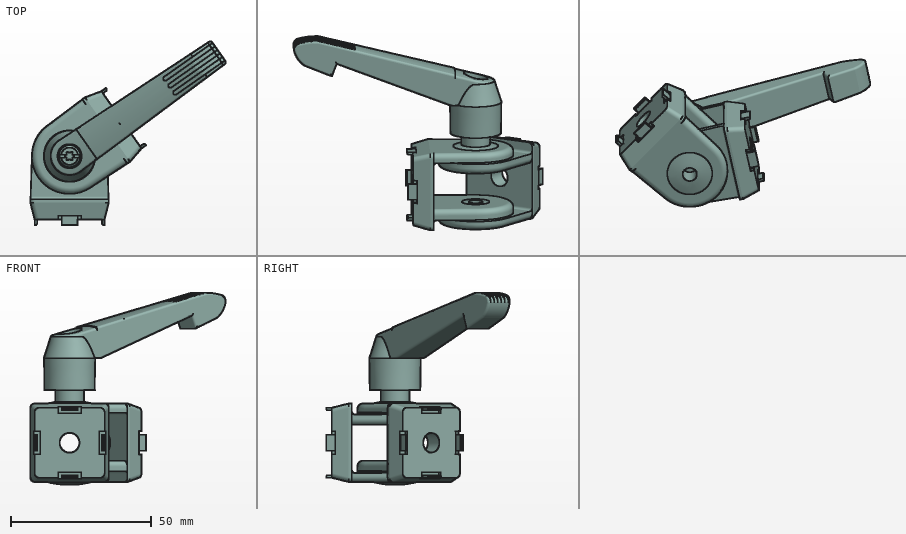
import cadquery as cq
import math

lever_angle = 35.0
half_height = 14.0

plate_back = 15.3
plate_edge = 16.5
plate_face = 22.55
face_half_side = 12.45
plate_corner = 1.7
plate_hole_radius = 3.5
arm_end_radius = 13.4
arm_plate_half_width = 13.9
outer_arm_bottom = 10.7
inner_arm_bottom = 10.1
inner_arm_top = 6.3
arm_rounding = 2.1
arm_root_fillet = 1.0
notch_width = 8.2
notch_depth = 1.95
notch_length = 1.3
tab_width = 5.7
tab_thickness = 1.0
tab_tip = 24.5
tab_bevel = 0.4

bush_radius = 4.9
bush_head_radius = 8.0
bush_head_height = 1.05

stud_collar_radius = 5.15
stud_tip_radius = 2.5
stud_tip_height = 4.5
stud_top = 30.05

hub_bottom = 18.7
hub_shoulder = 30.05
hub_cone_top = 37.7
hub_bottom_radius = 9.05
hub_radius = 9.2
hub_cone_top_radius = 6.75
lever_end = 64.8
lever_root = 9.6
lever_root_half_width = 6.715
lever_tip_half_width = 4.8
lever_slope = 0.245
lever_top_at_axis = 39.95
lever_crown_radius = 32.0
lever_edge_fillet = 0.85
lever_blank_top = 55.7
tip_start = 52.2
tip_start_height = 53.1
grip_step_top = (49.55, 45.0)
grip_bottom_start = (51.3, 40.5)
grip_bottom_end = (60.9, 44.3)
hub_top_end = 7.4
hub_top_drop = 0.3
groove_start = 42.95
groove_spacing = 3.05
groove_width = 1.5
groove_depth = 0.35
groove_lowest = 49.9

screw_bore_radius = 4.3
screw_seat = 36.75
screw_head_radius = 3.9
screw_head_height = 1.0
screw_head_chamfer = 0.85
screw_shank_radius = 1.75
screw_bottom = 24.35
screw_slot_width = 1.0
screw_slot_depth = 0.4
socket_radius = 1.2
socket_lobes = 6
socket_lobe_radius = 0.4
socket_depth = 0.85


def arm(bottom, top):
    """Arm with a round end about the pivot axis, its upper edge rounded."""
    outline = (
        cq.Workplane("XY", origin=(0, 0, bottom))
        .moveTo(-arm_plate_half_width, -plate_back)
        .lineTo(-arm_end_radius, 0)
        .threePointArc((0, arm_end_radius), (arm_end_radius, 0))
        .lineTo(arm_plate_half_width, -plate_back)
        .close()
        .extrude(top - bottom)
    )
    return outline.faces(">Z").edges("not <Y").fillet(arm_rounding)


def rounded_square(half_side):
    return cq.Sketch().rect(2 * half_side, 2 * half_side).vertices().fillet(plate_corner)


def plate():
    """Square plate facing -Y that narrows towards its outer face."""
    back = cq.Workplane("XZ", origin=(0, -plate_back, 0))
    rim = back.placeSketch(rounded_square(half_height)).extrude(plate_edge - plate_back)
    taper = (
        cq.Workplane("XZ", origin=(0, -plate_edge, 0))
        .placeSketch(
            rounded_square(half_height),
            rounded_square(face_half_side).moved(cq.Location(cq.Vector(0, 0, plate_face - plate_edge))),
        )
        .loft()
    )
    return rim.union(taper)


def notch():
    """Cutter for the notch at the upper side of the plate face."""
    return cq.Workplane("XY").box(
        notch_width, notch_length, 2 * notch_depth, centered=(True, False, False)
    ).translate((0, -plate_face, face_half_side - notch_depth))


def tab():
    """Tab that stands in the notch at the upper side of the plate face."""
    length = tab_tip - plate_face + notch_length
    blade = cq.Workplane("XY").box(
        tab_width, length, tab_thickness, centered=(True, False, False)
    ).translate((0, -tab_tip, face_half_side - tab_thickness))
    return blade.faces("<Y").edges("<Z").chamfer(tab_bevel)


def bracket():
    """Bracket facing -Y with an outer arm at the top and an inner arm below the centre."""
    body = plate()
    for bottom, top in ((outer_arm_bottom, half_height), (-inner_arm_bottom, -inner_arm_top)):
        body = body.union(arm(bottom, top))
    for height in (outer_arm_bottom, -inner_arm_bottom):
        root = cq.selectors.BoxSelector(
            (-0.7, -plate_back - 0.1, height - 0.1), (0.7, -plate_back + 0.1, height + 0.1)
        )
        body = body.edges(root).fillet(arm_root_fillet)
    for turn in range(4):
        body = body.cut(notch().rotate((0, 0, 0), (0, 1, 0), 90 * turn))
        body = body.union(tab().rotate((0, 0, 0), (0, 1, 0), 90 * turn))
    plate_hole = cq.Workplane("XZ").circle(plate_hole_radius).extrude(plate_face)
    pivot_hole = cq.Workplane("XY").circle(bush_radius).extrude(half_height, both=True)
    return body.cut(plate_hole).cut(pivot_hole)


def bush():
    """Bush through the upper pair of arms, with a domed head on top."""
    sleeve = (
        cq.Workplane("XY", origin=(0, 0, inner_arm_top))
        .circle(bush_radius)
        .extrude(half_height - inner_arm_top)
    )
    dome = (
        cq.Workplane("XZ")
        .moveTo(0, half_height)
        .lineTo(bush_head_radius, half_height)
        .threePointArc(
            (bush_head_radius / 2, half_height + 0.75 * bush_head_height),
            (0, half_height + bush_head_height),
        )
        .close()
        .revolve(360, (0, 0, 0), (0, 1, 0))
    )
    bore = cq.Workplane("XY").circle(stud_tip_radius).extrude(2 * half_height)
    return sleeve.union(dome).cut(bore)


def screw():
    """Retaining screw sunk in the hub, with a slot and a lobed socket."""
    head_top = screw_seat + screw_head_height
    head = (
        cq.Workplane("XY", origin=(0, 0, screw_seat))
        .circle(screw_head_radius)
        .extrude(screw_head_height)
        .faces(">Z")
        .chamfer(screw_head_chamfer)
    )
    shank = (
        cq.Workplane("XY", origin=(0, 0, screw_bottom))
        .circle(screw_shank_radius)
        .extrude(screw_seat - screw_bottom)
    )
    slot = cq.Workplane("XY").box(
        2 * screw_head_radius, screw_slot_width, 2 * screw_slot_depth
    ).translate((0, 0, head_top))
    socket_floor = cq.Workplane("XY", origin=(0, 0, head_top - socket_depth))
    socket = socket_floor.circle(socket_radius).extrude(socket_depth)
    lobes = (
        socket_floor.polarArray(socket_radius, 0, 360, socket_lobes)
        .circle(socket_lobe_radius)
        .extrude(socket_depth)
    )
    return head.union(shank).cut(slot).cut(socket.union(lobes))


def stud():
    """Clamp stud: collar from the upper bush into the hub, slim tip through the bush."""
    tip = (
        cq.Workplane("XY", origin=(0, 0, stud_tip_height))
        .circle(stud_tip_radius)
        .extrude(stud_top - stud_tip_height)
    )
    collar = (
        cq.Workplane("XY", origin=(0, 0, half_height))
        .circle(stud_collar_radius)
        .extrude(stud_top - half_height)
    )
    return tip.union(collar).cut(bush()).cut(screw())


def lever_blank():
    """Lever along +X: side profile, tapered plan, crowned top and rounded side edges."""
    profile = (
        cq.Workplane("XZ")
        .moveTo(-hub_radius, hub_shoulder)
        .lineTo(-hub_radius, lever_blank_top)
        .lineTo(tip_start, lever_blank_top)
        .lineTo(tip_start, tip_start_height)
        .threePointArc((58.45, 53.3), (63.4, 52.5))
        .threePointArc((64.5, 51.35), (lever_end, 49.9))
        .threePointArc((63.7, 47.2), grip_bottom_end)
        .lineTo(*grip_bottom_start)
        .lineTo(*grip_step_top)
        .lineTo(lever_root, hub_shoulder)
        .close()
        .extrude(hub_radius, both=True)
    )
    plan_end = lever_end + 2.1
    plan = (
        cq.Workplane("XY")
        .moveTo(0, lever_root_half_width)
        .threePointArc((-lever_root_half_width, 0), (0, -lever_root_half_width))
        .lineTo(plan_end, -lever_tip_half_width)
        .lineTo(plan_end, lever_tip_half_width)
        .close()
        .extrude(69.6)
    )
    slope_angle = math.degrees(math.atan(lever_slope))
    crown = (
        cq.Workplane("YZ", origin=(-34.8, 0, -lever_crown_radius))
        .circle(lever_crown_radius)
        .extrude(139.2)
        .rotate((0, 0, 0), (0, 1, 0), -slope_angle)
        .translate((0, 0, lever_top_at_axis))
    )
    blank = profile.intersect(plan).intersect(crown)
    sides = [
        cq.selectors.BoxSelector((13.9, side * 2.1, 0), (lever_end, side * hub_radius, 69.6))
        for side in (-1, 1)
    ]
    return blank.edges(sides[0] + sides[1]).fillet(lever_edge_fillet)


def lowered_top(lever, footprint, depth):
    """Cutter that lowers the top of the lever by a constant depth inside a footprint."""
    return footprint.cut(lever.translate((0, 0, -depth)))


def grip_grooves():
    """Footprint of the finger grooves, which have a round start and run off the tip."""
    length = 2 * (lever_end - groove_start)
    centres = [(groove_start + length / 2, side * groove_spacing) for side in (-1, 0, 1)]
    return (
        cq.Workplane("XY", origin=(0, 0, groove_lowest))
        .pushPoints(centres)
        .slot2D(length, groove_width)
        .extrude(13.9)
    )


def hub():
    """Round hub under the root of the lever: a near-cylinder and a cone."""
    return (
        cq.Workplane("XZ")
        .moveTo(0, hub_bottom)
        .lineTo(hub_bottom_radius, hub_bottom)
        .lineTo(hub_radius, hub_shoulder)
        .lineTo(hub_cone_top_radius, hub_cone_top)
        .lineTo(0, hub_cone_top)
        .close()
        .revolve(360, (0, 0, 0), (0, 1, 0))
    )


def handle():
    """Clamping lever with its hub, bored for the stud and the retaining screw."""
    lever = lever_blank()
    hub_top = cq.Workplane("XY", origin=(0, 0, 36.2)).rect(2 * hub_top_end, 20.9).extrude(20.9)
    sunk_lever = lever.cut(lowered_top(lever, hub_top, hub_top_drop))
    body = hub().union(sunk_lever).cut(lowered_top(lever, grip_grooves(), groove_depth))
    screw_bore = cq.Workplane("XY", origin=(0, 0, screw_seat)).circle(screw_bore_radius).extrude(13.9)
    shank_hole = cq.Workplane("XY", origin=(0, 0, stud_top)).circle(screw_shank_radius).extrude(13.9)
    stud_hole = (
        cq.Workplane("XY", origin=(0, 0, hub_bottom))
        .circle(stud_collar_radius)
        .extrude(stud_top - hub_bottom)
    )
    body = body.cut(screw_bore).cut(shank_hole).cut(stud_hole)
    return body.rotate((0, 0, 0), (0, 0, 1), lever_angle)


front_bracket = bracket().rotate((0, 0, 0), (0, 1, 0), 180)
turned_bracket = bracket().rotate((0, 0, 0), (0, 0, 1), 90 + lever_angle)
bushes = [bush().rotate((0, 0, 0), (0, 1, 0), turn) for turn in (0, 180)]

result = cq.Compound.makeCompound(
    [
        front_bracket.val(),
        turned_bracket.val(),
        *[part.val() for part in bushes],
        stud().val(),
        handle().val(),
        screw().val(),
    ]
)